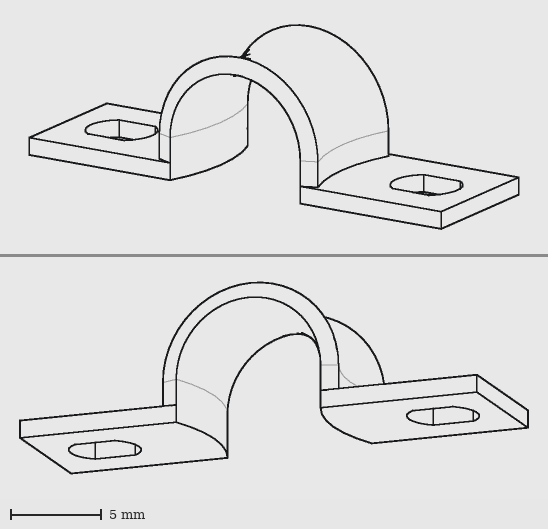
import cadquery as cq
import math

length = 27.0
width = 8.0
height = 7.67
thickness = 1.0

waist_inner_radius = 3.5
inner_flare_radius = 11.0
outer_flare_radius = inner_flare_radius - thickness
flare_center = waist_inner_radius + inner_flare_radius
flare_angle = math.asin(width / 2 / inner_flare_radius)
rim_outer_radius = flare_center - outer_flare_radius * math.cos(flare_angle)
spring_height = height - rim_outer_radius

hole_spacing = 19.98
hole_diameter = 4.0
hole_flat_width = 3.2


def flare_point(radius, angle):
    """Point (x, y) on a flare arc, with angle zero at the waist."""
    return flare_center - radius * math.cos(angle), radius * math.sin(angle)


def flare_section(plane):
    """Wall section bounded by concentric arcs, with ends square to them."""
    a = flare_angle
    inner, outer = inner_flare_radius, outer_flare_radius
    return (
        cq.Workplane(plane)
        .moveTo(*flare_point(inner, -a))
        .threePointArc(flare_point(inner, 0), flare_point(inner, a))
        .lineTo(*flare_point(outer, a))
        .threePointArc(flare_point(outer, 0), flare_point(outer, -a))
        .close()
    )


def make_arch():
    section = flare_section(cq.Plane.XY(origin=(0, 0, spring_height)))
    return section.revolve(180, (0, 0, 0), (0, -1, 0))


def make_leg():
    return flare_section(cq.Plane.XY()).extrude(spring_height)


def make_flange():
    """Flat foot whose inner end follows the inside of the leg."""
    a = flare_angle
    inner = inner_flare_radius
    return (
        cq.Workplane("XY")
        .moveTo(*flare_point(inner, -a))
        .threePointArc(flare_point(inner, 0), flare_point(inner, a))
        .lineTo(length / 2, width / 2)
        .lineTo(length / 2, -width / 2)
        .close()
        .extrude(thickness)
    )


def make_hole():
    flats = cq.Workplane("XY").rect(hole_diameter, hole_flat_width).extrude(thickness)
    hole = cq.Workplane("XY").circle(hole_diameter / 2).extrude(thickness).intersect(flats)
    return hole.translate((hole_spacing / 2, 0, 0))


side = make_flange().cut(make_hole()).union(make_leg())
result = make_arch().union(side).union(side.mirror("YZ"))